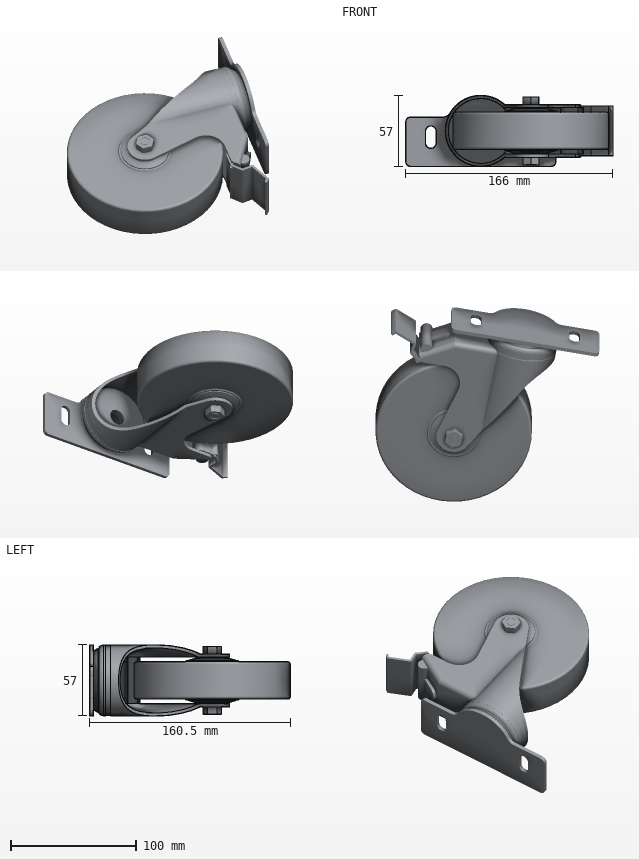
import cadquery as cq
import math


plate_length = 120.2
plate_thickness = 3.0
plate_edge_z = 11.1
plate_corner_radius = 4.0
plate_blend_radius = 7.0
head_diameter = 57.0
head_radius = head_diameter / 2
slot_spacing = 80.0
slot_width = 8.5
slot_length = 17.8
slot_center_z = -5.0
neck_top_radius = 23.4
neck_bottom_radius = 25.7
neck_end_y = -6.8
race_radius = 28.2
race_top_radius = 26.2
race_top_y = -7.3
seal_top_y = -11.0
seal_bottom_y = -12.8
kingpin_bore = 13.1
seal_bore = 12.5

sheet = 2.5
leg_outer_z = 21.0
leg_inner_z = leg_outer_z - sheet
fork_top_y = -16.0
web_inner_y = fork_top_y - sheet
crown_inner_y = -17.3
crown_inner_radius = head_radius - sheet
crown_rounding = 1.8
bend_outer_radius = 4.2
bend_inner_radius = bend_outer_radius - sheet
slope_start_x = 54.5
slope_angle = math.radians(30)
slope_end_x = 80.8
crown_rear_y = -23.0
rear_arc_end = (-4.5, -45.5)
rear_leg_angle = math.radians(29)
front_leg_angle = math.radians(14.2)
leg_end_radius = 14.0
relief_radius = 16.0
leg_bottom_y = -37.2
leg_tip_x = 75.9
leg_tip_chamfer = (78.7, -35.7)

overall_drop = 160.5
wheel_diameter = 125.0
wheel_radius = wheel_diameter / 2
axle_x = 40.0
axle_y = wheel_radius - overall_drop
wheel_half_width = 15.0
tyre_rounding = 2.0
core_radius = 55.5
boss_base_radius = 21.5
boss_top_radius = 20.8
boss_height = 0.8
recess_diameter = 39.0
recess_radius = recess_diameter / 2

shaft_diameter = 8.0
cap_diameter = 38.0
cap_radius = cap_diameter / 2
cap_rim_z = 16.1
cap_crown_radius = 13.3
cap_top_z = 17.8
spacer_diameter = 19.5
spacer_radius = spacer_diameter / 2
nut_across_flats = 13.0
nut_height = 6.1
nut_chamfer = 0.5
nut_bore = 8.1
stud_diameter = 6.6
stud_gap_depth = 0.5

brake_sheet = 2.0
pedal_width = 40.0
pedal_path = [(80.3, -37.5), (87.0, -31.4), (85.7, -22.7), (102.5, -15.5), (104.9, -17.5)]
brake_inner_width = 2 * leg_inner_z
tongue_start = 1.7
tongue_end = 19.1
tongue_width = 13.0
tongue_bottom = 0.3
tongue_top = 2.8
cam_position = 23.5
cam_offset = 1.2
cam_radius = 4.8
brake_neck_start = 20.8
brake_neck_end = 25.7
brake_neck_width = 29.9
arm_start = 18.3
arm_end = 35.2
arm_top = -5.6
pad_right_x = 75.0
pad_flat_x = 68.4
pad_left_x = 63.5
pad_bottom_y = -38.5
pad_left_y = -34.0
pad_top_y = -30.5

FAR = 332.0


def slope_point(along, above):
    """Point at a distance along the sloped web from its bend and above its outer face."""
    x = slope_start_x + along * math.cos(slope_angle) + above * math.sin(slope_angle)
    y = fork_top_y - along * math.sin(slope_angle) + above * math.cos(slope_angle)
    return (x, y)


def slope_block(start, end, bottom, top, width):
    """Block lying parallel to the sloped web, centred on the wheel mid-plane."""
    corners = [
        slope_point(start, bottom),
        slope_point(end, bottom),
        slope_point(end, top),
        slope_point(start, top),
    ]
    return cq.Workplane("XY").polyline(corners).close().extrude(width / 2, both=True)


def swivel_cylinder(radius, top_y, bottom_y):
    """Cylinder on the swivel axis between two heights."""
    return cq.Workplane("XZ", origin=(0, top_y, 0)).circle(radius).extrude(top_y - bottom_y)


def make_plate():
    """Slotted plate with a round head, carrying the turned swivel neck."""
    plate_width = head_radius + plate_edge_z
    plate = (
        cq.Workplane("XZ")
        .center(0, (plate_edge_z - head_radius) / 2)
        .rect(plate_length, plate_width)
        .extrude(plate_thickness)
        .edges("|Y")
        .fillet(plate_corner_radius)
    )
    plate = plate.union(swivel_cylinder(head_radius, 0, -plate_thickness))
    inner_corner_x = math.sqrt(head_radius**2 - plate_edge_z**2)
    for side in (-1, 1):
        corner = cq.selectors.NearestToPointSelector(
            (side * inner_corner_x, -plate_thickness / 2, plate_edge_z)
        )
        plate = plate.edges("|Y").edges(corner).fillet(plate_blend_radius)

    slots = (
        cq.Workplane("XZ")
        .pushPoints([(-slot_spacing / 2, slot_center_z), (slot_spacing / 2, slot_center_z)])
        .slot2D(slot_length, slot_width, 90)
        .extrude(plate_thickness)
    )
    plate = plate.cut(slots)

    shoulder_width = race_radius - race_top_radius
    shoulder_height = race_top_y - seal_top_y
    shoulder_radius = (shoulder_width**2 + shoulder_height**2) / (2 * shoulder_width)

    head = (
        cq.Workplane("XY")
        .moveTo(kingpin_bore / 2, -plate_thickness)
        .lineTo(neck_top_radius, -plate_thickness)
        .lineTo(neck_bottom_radius, neck_end_y)
        .lineTo(neck_bottom_radius, race_top_y)
        .lineTo(race_top_radius, race_top_y)
        .radiusArc((race_radius, seal_top_y), shoulder_radius)
        .lineTo(head_radius, seal_top_y)
        .lineTo(head_radius, seal_bottom_y)
        .lineTo(seal_bore / 2, seal_bottom_y)
        .lineTo(seal_bore / 2, seal_top_y)
        .lineTo(kingpin_bore / 2, seal_top_y)
        .close()
        .revolve(360, (0, 0), (0, 1))
    )
    return plate.union(head)


def fork_side_outline():
    """Side outline of the fork, extruded across its full width."""
    rear_normal = (-math.cos(rear_leg_angle), -math.sin(rear_leg_angle))
    front_normal = (math.cos(front_leg_angle), math.sin(front_leg_angle))
    rear_tangent = (axle_x + leg_end_radius * rear_normal[0], axle_y + leg_end_radius * rear_normal[1])
    front_tangent = (axle_x + leg_end_radius * front_normal[0], axle_y + leg_end_radius * front_normal[1])

    relief_y = leg_bottom_y - relief_radius
    relief_reach = leg_end_radius + relief_radius - (relief_y - axle_y) * front_normal[1]
    relief_x = axle_x + relief_reach / front_normal[0]
    relief_start = (relief_x - relief_radius * front_normal[0], relief_y - relief_radius * front_normal[1])

    slope_end_y = fork_top_y - (slope_end_x - slope_start_x) * math.tan(slope_angle)
    chord_x = -head_radius - rear_arc_end[0]
    chord_y = crown_rear_y - rear_arc_end[1]
    rear_radius = (chord_x**2 + chord_y**2) / (2 * (chord_x * rear_normal[0] + chord_y * rear_normal[1]))

    return (
        cq.Workplane("XY")
        .moveTo(-head_radius, fork_top_y)
        .lineTo(-head_radius, crown_rear_y)
        .radiusArc(rear_arc_end, rear_radius)
        .lineTo(*rear_tangent)
        .threePointArc((axle_x, axle_y - leg_end_radius), front_tangent)
        .lineTo(*relief_start)
        .radiusArc((relief_x, leg_bottom_y), relief_radius)
        .lineTo(leg_tip_x, leg_bottom_y)
        .lineTo(*leg_tip_chamfer)
        .lineTo(slope_end_x, slope_end_y)
        .lineTo(slope_start_x, fork_top_y)
        .close()
        .extrude(head_radius, both=True)
    )


def channel_block(offset, half_width, rounding):
    """Block under the bent web, lowered by an offset and rounded along its upper edges."""
    bend_x = slope_start_x - offset * math.tan(slope_angle / 2)
    slope_drop = (FAR - bend_x) * math.tan(slope_angle)
    top_y = fork_top_y - offset
    return (
        cq.Workplane("XY")
        .moveTo(0, top_y)
        .lineTo(bend_x, top_y)
        .lineTo(FAR, top_y - slope_drop)
        .lineTo(FAR, -FAR)
        .lineTo(0, -FAR)
        .close()
        .extrude(half_width, both=True)
        .edges("(|X and >Y) or (not (|X or |Y or |Z))")
        .fillet(rounding)
    )


def make_fork():
    """Sheet fork: a round crown running into two legs joined by a bent web."""
    crown = swivel_cylinder(head_radius, fork_top_y, -FAR).faces(">Y").edges().fillet(crown_rounding)
    arms = channel_block(0, leg_outer_z, bend_outer_radius)
    fork = crown.union(arms).intersect(fork_side_outline())

    fork = fork.cut(channel_block(sheet, leg_inner_z, bend_inner_radius))
    fork = fork.union(swivel_cylinder(crown_inner_radius, fork_top_y, web_inner_y))
    fork = fork.cut(swivel_cylinder(crown_inner_radius, crown_inner_y, -FAR))

    fork = fork.union(swivel_cylinder(race_radius, seal_bottom_y, crown_inner_y))
    fork = fork.cut(swivel_cylinder(kingpin_bore / 2, seal_bottom_y, crown_inner_y))

    fork = fork.cut(axle_cylinder(shaft_diameter / 2, leg_outer_z))
    return fork.cut(brake_neck(0))


def axle_plane():
    """Radial half-plane through the wheel axis: local X is radius, local Y is height."""
    return cq.Workplane("XZ", origin=(axle_x, axle_y, 0))


def axle_cylinder(radius, half_length):
    """Cylinder on the wheel axis, centred on the wheel mid-plane."""
    base = cq.Workplane("XY", origin=(axle_x, axle_y, -half_length))
    return base.circle(radius).extrude(2 * half_length)


def make_tyre():
    tyre = axle_cylinder(wheel_radius, wheel_half_width).faces("<Z or >Z").edges().fillet(tyre_rounding)
    return tyre.cut(axle_cylinder(core_radius, wheel_half_width))


def make_core():
    boss_top_z = wheel_half_width + boss_height
    upper_profile = [
        (0, 0),
        (core_radius, 0),
        (core_radius, wheel_half_width),
        (boss_base_radius, wheel_half_width),
        (boss_top_radius, boss_top_z),
        (recess_radius, boss_top_z),
        (recess_radius, wheel_half_width),
        (0, wheel_half_width),
    ]
    upper_half = axle_plane().polyline(upper_profile).close().revolve(360, (0, 0), (0, 1))
    core = upper_half.union(upper_half.mirror("XY"))
    return core.cut(axle_cylinder(shaft_diameter / 2, wheel_half_width))


def make_axle():
    """Shaft with a cap and a hexagon on each side of the wheel."""
    cap_profile = [
        (0, wheel_half_width),
        (cap_radius, wheel_half_width),
        (cap_radius, cap_rim_z),
        (cap_crown_radius, cap_top_z),
        (spacer_radius, cap_top_z),
        (spacer_radius, leg_inner_z),
        (0, leg_inner_z),
    ]
    cap = axle_plane().polyline(cap_profile).close().revolve(360, (0, 0), (0, 1))

    nut_plane = cq.Workplane("XY", origin=(axle_x, axle_y, leg_outer_z))
    corner_radius = nut_across_flats / math.sqrt(3)
    corner_cone = nut_plane.circle(corner_radius).extrude(nut_height).edges().chamfer(nut_chamfer)
    nut = (
        nut_plane.transformed(rotate=(0, 0, 90))
        .polygon(6, 2 * corner_radius)
        .extrude(nut_height)
        .intersect(corner_cone)
    )
    stud_gap = (
        nut_plane.workplane(offset=nut_height - stud_gap_depth)
        .circle(nut_bore / 2)
        .circle(stud_diameter / 2)
        .extrude(stud_gap_depth)
    )
    side = cap.union(nut.cut(stud_gap))
    shaft = axle_cylinder(shaft_diameter / 2, leg_outer_z)
    return shaft.union(side).union(side.mirror("XY"))


def make_brake_pedal():
    return (
        cq.Workplane("XY")
        .polyline(pedal_path)
        .offset2D(brake_sheet / 2)
        .extrude(pedal_width / 2, both=True)
    )


def make_brake_tongue():
    """Tongue with a semicircular end, lying just above the sloped web."""
    end_radius = tongue_width / 2
    strip = slope_block(tongue_start + end_radius, tongue_end, tongue_bottom, tongue_top, tongue_width)
    round_end = (
        cq.Workplane("XZ")
        .circle(end_radius)
        .extrude(tongue_bottom - tongue_top)
        .rotate((0, 0, 0), (0, 0, 1), -math.degrees(slope_angle))
        .translate((*slope_point(tongue_start + end_radius, tongue_bottom), 0))
    )
    return strip.union(round_end)


def make_brake_cam():
    """Round nose resting on the outer face of the sloped web."""
    cam = (
        cq.Workplane("XY", origin=(*slope_point(cam_position, cam_offset), 0))
        .circle(cam_radius)
        .extrude(brake_inner_width / 2, both=True)
    )
    above_web = slope_block(0, FAR, 0, cam_offset + cam_radius, brake_inner_width)
    return cam.intersect(above_web)


def make_brake_arm():
    """Strip under the sloped web with a round-nosed pad facing the tread."""
    strip = slope_block(arm_start, arm_end, arm_top - brake_sheet, arm_top, brake_inner_width)
    pad = (
        cq.Workplane("XY")
        .moveTo(pad_right_x, pad_bottom_y)
        .lineTo(pad_flat_x, pad_bottom_y)
        .radiusArc((pad_left_x, pad_left_y), pad_flat_x - pad_left_x)
        .lineTo(pad_left_x, pad_top_y)
        .lineTo(*slope_point(arm_start, arm_top - brake_sheet))
        .lineTo(*slope_point(arm_end - 2 * brake_sheet, arm_top - brake_sheet))
        .close()
        .extrude(brake_inner_width / 2, both=True)
    )
    return strip.union(pad)


def brake_neck(top):
    """Neck that passes through the web and joins the cam to the arm."""
    return slope_block(brake_neck_start, brake_neck_end, arm_top, top, brake_neck_width)


def make_brake():
    brake = make_brake_arm().union(make_brake_pedal()).union(brake_neck(cam_offset))
    return brake.union(make_brake_cam()).union(make_brake_tongue())


plate = make_plate()
fork = make_fork()
tyre = make_tyre()
core = make_core()
axle = make_axle()
brake = make_brake()

bodies = [plate, fork, tyre, core, axle, brake]
result = cq.Compound.makeCompound([body.solids().val() for body in bodies])